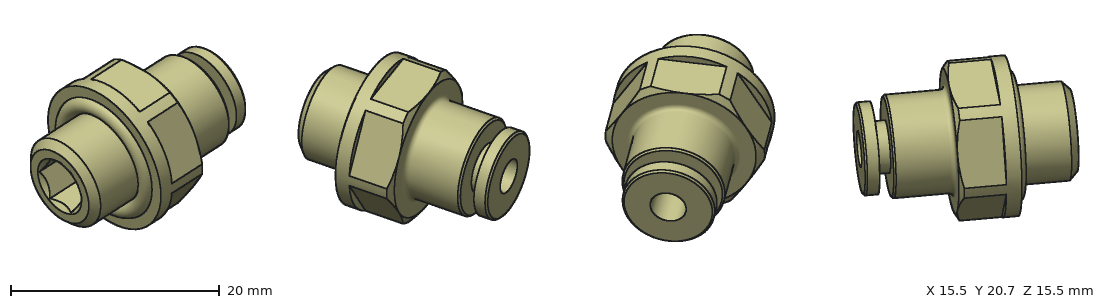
import cadquery as cq
import math

HEX_SIDES = 6
ARC_MIDPOINT_ANGLE = 45.0

flange_front = 6.0
flange_rear = 7.5
hex_rear = 12.0
body_rear = 18.0
collar_front = 19.3
total_length = 20.7

thread_dia = 9.6
flange_dia = 15.5
body_dia = 10.0
neck_dia = 5.1
collar_dia = 9.0

thread_chamfer = 0.8
edge_chamfer = 0.2
neck_chamfer = 0.2
body_root_fillet = 0.5

hex_across_flats = 14.0
hex_cone_angle = 30.0

seal_section_radius = 0.88
seal_outer_dia = 13.1
seal_protrusion = 0.68

bore_dia = 3.5
socket_across_flats = 5.0
socket_depth = 4.0
socket_mouth_dia = 6.0
socket_mouth_angle = 45.0


def revolve_profile(points):
    """Solid of revolution about Y from (radius, y) points."""
    return cq.Workplane("XY").polyline(points).close().revolve(360, (0, 0, 0), (0, 1, 0))


def hex_prism(across_flats, y_start, y_end):
    """Hexagonal prism along Y with two flats facing +Z and -Z."""
    corner_dia = across_flats / math.cos(math.pi / HEX_SIDES)
    plane = cq.Workplane("XZ", origin=(0, y_start, 0))
    return plane.polygon(HEX_SIDES, corner_dia).extrude(y_start - y_end)


def make_threaded_end():
    radius = thread_dia / 2
    return revolve_profile([
        (0, 0),
        (radius - thread_chamfer, 0),
        (radius, thread_chamfer),
        (radius, flange_front),
        (0, flange_front),
    ])


def make_flange():
    radius = flange_dia / 2
    return revolve_profile([
        (0, flange_front),
        (radius, flange_front),
        (radius, flange_rear),
        (0, flange_rear),
    ])


def make_wrench_hex():
    """Hexagon rounded to the flange diameter and coned off at the rear."""
    radius = flange_dia / 2
    flat_radius = hex_across_flats / 2
    cone_length = (radius - flat_radius) * math.tan(math.radians(hex_cone_angle))
    envelope = revolve_profile([
        (0, flange_rear),
        (radius, flange_rear),
        (radius, hex_rear - cone_length),
        (flat_radius, hex_rear),
        (0, hex_rear),
    ])
    return hex_prism(hex_across_flats, flange_rear, hex_rear).intersect(envelope)


def make_seal():
    centre_radius = seal_outer_dia / 2 - seal_section_radius
    centre_y = flange_front - seal_protrusion + seal_section_radius
    section = cq.Workplane("XY").center(centre_radius, centre_y).circle(seal_section_radius)
    return section.revolve(360, (-centre_radius, 0, 0), (-centre_radius, 1, 0))


def make_rear_body():
    """Release-end body with a concave fillet at its root on the hexagon."""
    radius = body_dia / 2
    fillet_end_y = hex_rear + body_root_fillet
    fillet_setback = body_root_fillet * (1 - math.cos(math.radians(ARC_MIDPOINT_ANGLE)))
    profile = (
        cq.Workplane("XY")
        .moveTo(0, hex_rear)
        .lineTo(radius + body_root_fillet, hex_rear)
        .threePointArc((radius + fillet_setback, hex_rear + fillet_setback), (radius, fillet_end_y))
        .lineTo(radius, body_rear - edge_chamfer)
        .lineTo(radius - edge_chamfer, body_rear)
        .lineTo(0, body_rear)
        .close()
    )
    return profile.revolve(360, (0, 0, 0), (0, 1, 0))


def make_release_collar():
    neck_radius = neck_dia / 2
    radius = collar_dia / 2
    return revolve_profile([
        (0, body_rear),
        (neck_radius, body_rear),
        (neck_radius, collar_front - neck_chamfer),
        (neck_radius + neck_chamfer, collar_front),
        (radius, collar_front),
        (radius, total_length - edge_chamfer),
        (radius - edge_chamfer, total_length),
        (0, total_length),
    ])


def make_socket_mouth():
    """Cone that widens the socket entry."""
    radius = socket_mouth_dia / 2
    depth = radius * math.tan(math.radians(socket_mouth_angle))
    return revolve_profile([(0, 0), (radius, 0), (0, depth)])


def make_bore():
    radius = bore_dia / 2
    return revolve_profile([(0, 0), (radius, 0), (radius, total_length), (0, total_length)])


outer = (
    make_threaded_end()
    .union(make_flange())
    .union(make_wrench_hex())
    .union(make_seal())
    .union(make_rear_body())
    .union(make_release_collar())
)
result = (
    outer
    .cut(make_bore())
    .cut(hex_prism(socket_across_flats, 0, socket_depth))
    .cut(make_socket_mouth())
)